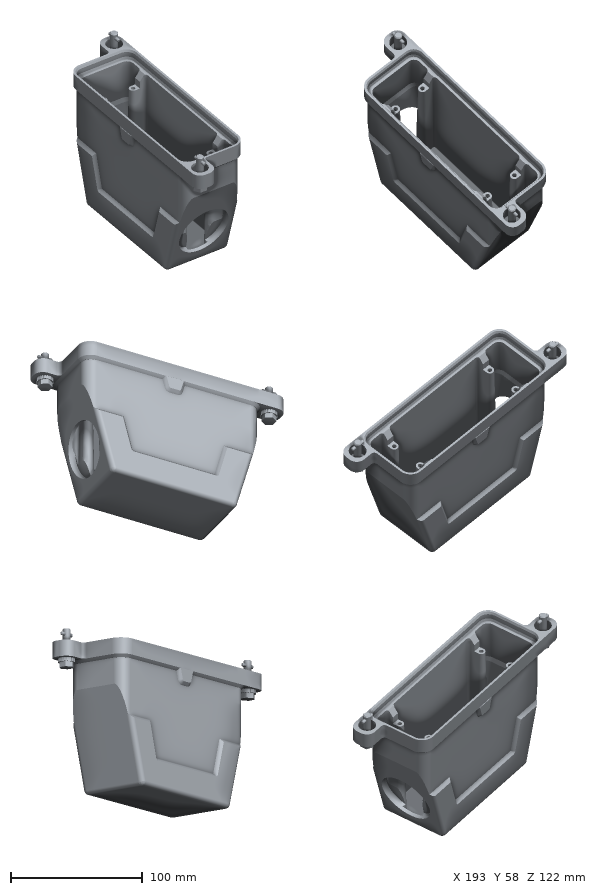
import cadquery as cq
import math

total_length = 193.0
total_width = 58.0
total_height = 122.0
flange_top = 111.4
flange_bottom = 98.8
body_break = 76.2

bevel_slope = 45
body_half_x = 75.3
body_half_y = 26.5
body_corner = 8.7
end_slope = 0.28
end_angle = math.degrees(math.atan(end_slope))

panel_half_y = total_width / 2
panel_top = 52.9
panel_corner = 3.9
bottom_round = 3.5
panel_rise = panel_half_y - body_half_y
notch_bottom = 24.5
notch_top_half = 43.0
notch_bottom_half = 35.3

flange_half_x = 77.8
flange_half_y = 28.8
flange_corner = 10.6
flange_overhang = flange_half_y - body_half_y
rim_lip = 1.7
rim_bevel = 1.0
rim_bevel_depth = 1.7
ledge_depth = 7.7
ledge_level = flange_top - ledge_depth

tab_bottom = 86.5
tab_top_half = 11.0
tab_bottom_half = 6.8
tab_round = 4.5

cavity_half_x = 71.6
cavity_half_y = 23.2
cavity_corner = 5.8
cavity_floor = 6.2
cavity_break = 67.5
cavity_step = 3.0
end_wall = 3.0
draft = 1.0
floor_round = 0.5

post_x = 52.1
post_y = 13.7
post_radius = 3.0
post_blend = 2.9
post_draft = 1.2
post_seat = 92.0
post_hole_radius = 1.7
post_hole_depth = 11.5
gusset_low_y = 17.8
gusset_high_y = 22.0
gusset_low = 98.2

entry_radius = 22.4
entry_height = 31.8
entry_reach = 5.8

ear_end = total_length / 2
ear_inner_y = 10.0
ear_corner = 7.5
ear_blend = 3.0
screw_x = 86.0
screw_y = 19.5
bore_radius = 6.8
web_thickness = 1.5
shank_radius = 3.0
shank_chamfer = 0.8
cross_pin_radius = 1.45
cross_pin_length = 12.5
cross_pin_chamfer = 0.5
cross_pin_height = 117.7
washer_radius = 6.5
washer_thickness = 2.9
tooth_count = 20
tooth_depth = 0.5
tooth_gap = 1.0
head_corners = 11.5
head_thickness = 4.0


def rounded_block(half_x, half_y, corner, bottom, top, taper=0):
    """Upright block with rounded corners; taper widens it towards the top."""
    return (
        cq.Workplane("XY", origin=(0, 0, top))
        .sketch()
        .rect(2 * half_x, 2 * half_y)
        .vertices()
        .fillet(corner)
        .finalize()
        .extrude(bottom - top, taper=taper)
    )


def outer_half_x(height):
    """Half length of the body at a height."""
    return body_half_x - end_slope * max(0, body_break - height)


def symmetric_prism(right_side, half_y):
    """Prism along Y whose outline is the given right side and its mirror image."""
    left_side = [(-x, z) for x, z in reversed(right_side)]
    return (
        cq.Workplane("XZ", origin=(0, half_y, 0))
        .polyline(right_side + left_side)
        .close()
        .extrude(2 * half_y)
    )


def on_both_sides(solid):
    """A feature on the -Y wall together with its mirror image."""
    return solid.union(solid.mirror("XZ"))


def make_upper_body():
    block = rounded_block(body_half_x, body_half_y, body_corner, panel_top, flange_bottom)
    heights = (panel_top, body_break, flange_bottom)
    return block.intersect(symmetric_prism([(outer_half_x(z), z) for z in heights], body_half_y))


def make_lower_panels():
    panel = symmetric_prism([(outer_half_x(z), z) for z in (0, panel_top)], panel_half_y)
    panel = panel.faces("#Y").faces("<X or >X").edges("<Y or >Y").fillet(panel_corner)
    panel = panel.faces("<Z").edges().fillet(bottom_round)
    clearance = 2 * body_half_x
    notch = (
        cq.Workplane("XZ", origin=(0, -body_half_y, 0))
        .polyline([
            (-clearance, panel_top),
            (-notch_top_half, panel_top),
            (-notch_bottom_half, notch_bottom),
            (notch_bottom_half, notch_bottom),
            (notch_top_half, panel_top),
            (clearance, panel_top),
            (clearance, flange_top),
            (-clearance, flange_top),
        ])
        .close()
        .extrude(panel_rise, taper=-bevel_slope)
    )
    return panel.cut(on_both_sides(notch))


def make_tabs():
    root_top = flange_bottom + panel_rise
    outline = (
        cq.Sketch()
        .polygon([
            (-tab_top_half, root_top),
            (-tab_bottom_half, tab_bottom),
            (tab_bottom_half, tab_bottom),
            (tab_top_half, root_top),
            (-tab_top_half, root_top),
        ])
        .vertices("<Y")
        .fillet(tab_round)
    )
    tab = (
        cq.Workplane("XZ", origin=(0, -body_half_y, 0))
        .placeSketch(outline)
        .extrude(panel_rise, taper=bevel_slope)
    )
    return on_both_sides(tab)


def make_flange():
    flange = rounded_block(flange_half_x, flange_half_y, flange_corner, flange_bottom, flange_top)
    flare = rounded_block(
        flange_half_x, flange_half_y, flange_corner,
        flange_bottom - flange_overhang, flange_bottom, taper=bevel_slope,
    )
    ear_start = flange_half_x - 2 * flange_corner
    ear = (
        cq.Workplane("XY", origin=(0, 0, flange_bottom))
        .moveTo(-ear_start, ear_inner_y)
        .lineTo(-ear_end, ear_inner_y)
        .lineTo(-ear_end, flange_half_y)
        .lineTo(-ear_start, flange_half_y)
        .close()
        .extrude(flange_top - flange_bottom)
        .edges("|Z and <X")
        .fillet(ear_corner)
    )
    ears = ear.union(ear.rotate((0, 0, 0), (0, 0, 1), 180))
    flange = flange.union(ears)
    for side in (-1, 1):
        inner_corner = cq.selectors.NearestToPointSelector(
            (side * flange_half_x, -side * ear_inner_y, (flange_top + flange_bottom) / 2)
        )
        flange = flange.edges(inner_corner).fillet(ear_blend)
    return flange.union(flare)


def make_mouth():
    """Recess in the flange: a straight wall between two steep bevels."""
    half_x = flange_half_x - rim_lip
    half_y = flange_half_y - rim_lip
    corner = flange_corner - rim_lip
    bevel_angle = math.degrees(math.atan(rim_bevel / rim_bevel_depth))
    lower_bevel_top = ledge_level + rim_bevel_depth
    upper_bevel = rounded_block(
        half_x, half_y, corner, flange_top - rim_bevel_depth, flange_top, bevel_angle
    )
    half_x -= rim_bevel
    half_y -= rim_bevel
    corner -= rim_bevel
    wall = rounded_block(half_x, half_y, corner, lower_bevel_top, flange_top)
    lower_bevel = rounded_block(half_x, half_y, corner, ledge_level, lower_bevel_top, bevel_angle)
    return upper_bevel.union(wall).union(lower_bevel)


def make_post(side_x, side_y):
    """Drafted post against a long wall, with a gusset above its seat."""
    wall_y = side_y * cavity_half_y
    buried_y = side_y * body_half_y
    tip_y = side_y * (post_y - post_radius)
    blend_y = side_y * (cavity_half_y - post_blend)
    root_half = post_radius + post_blend
    blend_mid_x = root_half - post_blend * math.sqrt(0.5)
    blend_mid_y = side_y * (cavity_half_y - post_blend * (1 - math.sqrt(0.5)))
    column = (
        cq.Workplane("XY", origin=(side_x * post_x, 0, ledge_level))
        .moveTo(-root_half, buried_y)
        .lineTo(-root_half, wall_y)
        .threePointArc((-blend_mid_x, blend_mid_y), (-post_radius, blend_y))
        .lineTo(-post_radius, side_y * post_y)
        .threePointArc((0, tip_y), (post_radius, side_y * post_y))
        .lineTo(post_radius, blend_y)
        .threePointArc((blend_mid_x, blend_mid_y), (root_half, wall_y))
        .lineTo(root_half, buried_y)
        .close()
        .extrude(-ledge_level, taper=-post_draft)
    )
    above_seat = (
        cq.Workplane("YZ", origin=(side_x * post_x, 0, 0))
        .polyline([
            (0, post_seat),
            (side_y * gusset_low_y, post_seat),
            (side_y * gusset_low_y, gusset_low),
            (side_y * gusset_high_y, ledge_level),
            (0, ledge_level),
        ])
        .close()
        .extrude(2 * post_radius, both=True)
    )
    screw_hole = (
        cq.Workplane("XY", origin=(side_x * post_x, side_y * post_y, post_seat))
        .circle(post_hole_radius)
        .extrude(-post_hole_depth)
    )
    return column.cut(above_seat).cut(screw_hole)


def make_cavity():
    inner_half_x = outer_half_x(cavity_break) - end_wall
    floor_half_x = outer_half_x(cavity_floor) - end_wall
    cavity = symmetric_prism(
        [
            (floor_half_x, cavity_floor),
            (inner_half_x, cavity_break),
            (cavity_half_x, cavity_break + cavity_step),
            (cavity_half_x, ledge_level),
        ],
        cavity_half_y,
    )
    drafted = (
        cq.Workplane("XY", origin=(0, 0, ledge_level))
        .rect(4 * cavity_half_x, 2 * cavity_half_y)
        .extrude(cavity_floor - ledge_level, taper=draft)
    )
    cavity = cavity.intersect(drafted)
    cavity = cavity.faces("<Y or >Y").edges("not |X").fillet(cavity_corner)
    cavity = cavity.faces("<Z").edges().fillet(floor_round)
    for side_x in (-1, 1):
        for side_y in (-1, 1):
            cavity = cavity.cut(make_post(side_x, side_y))
    return cavity


def make_cable_entry():
    wall_x = outer_half_x(entry_height)
    entry = cq.Workplane("YZ").circle(entry_radius).extrude(entry_reach, both=True)
    return entry.rotate((0, 0, 0), (0, 1, 0), end_angle).translate((wall_x, 0, entry_height))


def make_screw():
    """Captive screw standing on the Z axis: hexagon head, toothed washer, shank and cross pin."""
    washer_bottom = flange_bottom - washer_thickness
    washer = (
        cq.Workplane("XY", origin=(0, 0, washer_bottom))
        .circle(washer_radius)
        .extrude(washer_thickness)
    )
    gaps = (
        cq.Workplane("XY", origin=(0, 0, washer_bottom))
        .polarArray(washer_radius, 0, 360, tooth_count)
        .rect(2 * tooth_depth, tooth_gap)
        .extrude(washer_thickness)
    )
    head = (
        cq.Workplane("XY", origin=(0, 0, washer_bottom))
        .transformed(rotate=(0, 0, 90))
        .polygon(6, head_corners)
        .extrude(-head_thickness)
    )
    shank = (
        cq.Workplane("XY", origin=(0, 0, washer_bottom))
        .circle(shank_radius)
        .extrude(total_height - washer_bottom)
        .faces(">Z")
        .chamfer(shank_chamfer)
    )
    cross_pin = (
        cq.Workplane("YZ", origin=(-cross_pin_length / 2, 0, cross_pin_height))
        .circle(cross_pin_radius)
        .extrude(cross_pin_length)
        .faces("<X or >X")
        .chamfer(cross_pin_chamfer)
    )
    return washer.cut(gaps).union(head).union(shank).union(cross_pin)


def make_ear_bore():
    floor = flange_bottom + web_thickness
    return cq.Workplane("XY", origin=(0, 0, floor)).circle(bore_radius).extrude(flange_top - floor)


hood = make_upper_body().union(make_lower_panels()).union(make_flange()).union(make_tabs())
hood = hood.cut(make_mouth()).cut(make_cavity()).cut(make_cable_entry())

for side in (-1, 1):
    screw_place = (side * screw_x, -side * screw_y, 0)
    hood = hood.cut(make_ear_bore().translate(screw_place))
    hood = hood.union(make_screw().translate(screw_place))

result = hood